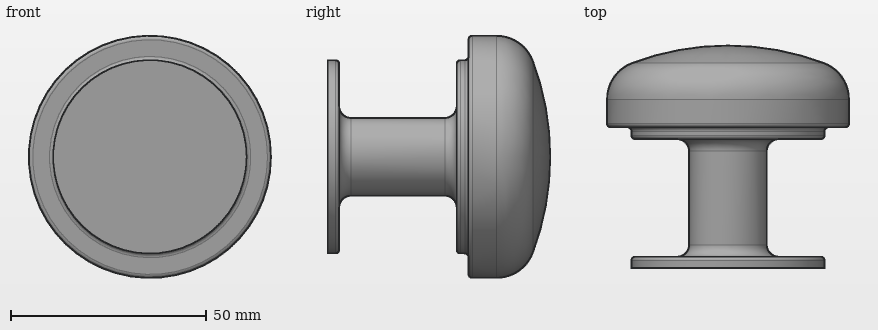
import cadquery as cq
import math


head_radius = 31.0
plate_radius = 24.75
post_radius = 10.0

plate_thickness = 3.0
post_length = 30.0
collar_thickness = 3.05
rim_height = 7.1
dome_height = 13.8

post_fillet = 3.0
edge_fillet = 1.0
shoulder_radius = 10.0

collar_start = plate_thickness + post_length
head_start = collar_start + collar_thickness
shoulder_start = head_start + rim_height
crown_top = shoulder_start + dome_height

shoulder_center = head_radius - shoulder_radius
crown_radius = (shoulder_center**2 + dome_height**2 - shoulder_radius**2) / (
    2 * (dome_height - shoulder_radius)
)
shoulder_angle = math.asin(shoulder_center / (crown_radius - shoulder_radius))


def arc_point(center_r, center_y, radius, angle):
    """Point on an arc, with the angle measured from the Y direction outward."""
    return (
        center_r + radius * math.sin(angle),
        center_y + radius * math.cos(angle),
    )


shoulder_end = arc_point(shoulder_center, shoulder_start, shoulder_radius, shoulder_angle)
shoulder_middle = arc_point(
    shoulder_center, shoulder_start, shoulder_radius, (shoulder_angle + math.pi / 2) / 2
)
crown_middle = arc_point(0, crown_top - crown_radius, crown_radius, shoulder_angle / 2)


def disc(radius, start, thickness):
    """Solid cylinder about the Y axis, extending toward +Y from start."""
    return cq.Workplane("XZ", origin=(0, start, 0)).circle(radius).extrude(-thickness)


def round_edge(body, radius, position, fillet):
    """Round the circular edge of the given radius at a position along the axis."""
    tolerance = 0.005
    outer = radius + tolerance
    circle = cq.selectors.BoxSelector(
        (-outer, position - tolerance, -outer),
        (outer, position + tolerance, outer),
        boundingbox=True,
    )
    inner = radius - tolerance
    smaller_circles = cq.selectors.BoxSelector(
        (-inner, position - tolerance, -inner),
        (inner, position + tolerance, inner),
        boundingbox=True,
    )
    return body.edges(circle - smaller_circles).fillet(fillet)


head = (
    cq.Workplane("XY")
    .moveTo(0, head_start)
    .lineTo(head_radius, head_start)
    .lineTo(head_radius, shoulder_start)
    .threePointArc(shoulder_middle, shoulder_end)
    .threePointArc(crown_middle, (0, crown_top))
    .close()
    .revolve(360, (0, 0), (0, 1))
)

plate = disc(plate_radius, 0, plate_thickness)
post = disc(post_radius, plate_thickness, post_length)
collar = disc(plate_radius, collar_start, collar_thickness)
knob = plate.union(post).union(collar).union(head)

for end in (plate_thickness, collar_start):
    knob = round_edge(knob, post_radius, end, post_fillet)

for radius, position in (
    (plate_radius, plate_thickness),
    (plate_radius, collar_start),
    (plate_radius, head_start),
    (head_radius, head_start),
):
    knob = round_edge(knob, radius, position, edge_fillet)

result = knob